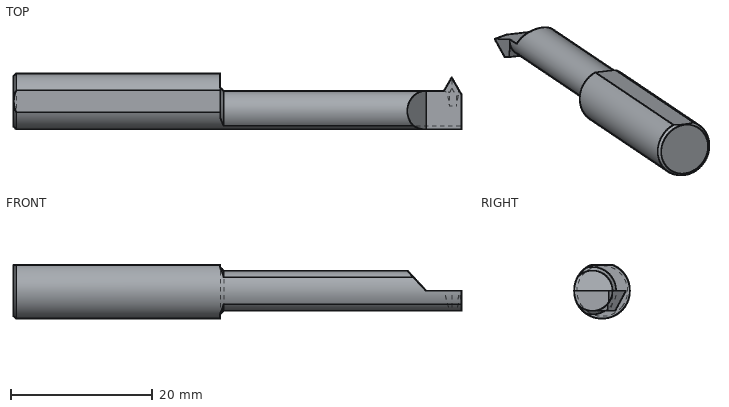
import cadquery as cq
import math

total_length = 63.5
shank_radius = 3.97
shank_length = 29.3
shank_flat_height = 3.65
tail_chamfer = 0.4

neck_radius = 2.85
neck_offset = -1.365
shoulder_bevel = 0.5

land_length = 5.0
ramp_length = 2.65

tooth_height = 1.9
tooth_half_angle = 30.0
tooth_tip_setback = 1.4
tooth_clearance_angle = 15.0

neck_side = neck_offset + neck_radius
tooth_half_base = tooth_height * math.tan(math.radians(tooth_half_angle))
tooth_tip_x = total_length - tooth_tip_setback
tooth_tip_y = neck_side + tooth_height
end_flank_y = tooth_tip_y - tooth_tip_setback / math.tan(math.radians(tooth_half_angle))
land_start = total_length - land_length


def make_shank():
    """Round shank with a chamfered tail and a clamping flat along the top."""
    shank = cq.Workplane("YZ").circle(shank_radius).extrude(shank_length)
    shank = shank.faces("<X").chamfer(tail_chamfer)
    height = shank_flat_height + shank_radius
    keep = cq.Workplane("XY").box(shank_length, 2 * shank_radius, height, centered=(False, True, False))
    return shank.intersect(keep.translate((0, 0, -shank_radius)))


def make_neck():
    """Offset round neck with a conical bevel at the shank shoulder."""
    bevel_radius = neck_radius + shoulder_bevel
    return (
        cq.Workplane("XY")
        .moveTo(shank_length, neck_offset)
        .lineTo(shank_length, neck_offset + bevel_radius)
        .lineTo(shank_length + shoulder_bevel, neck_side)
        .lineTo(total_length, neck_side)
        .lineTo(total_length, neck_offset)
        .close()
        .revolve(360, (0, neck_offset, 0), (1, neck_offset, 0))
    )


def make_tooth():
    """Pointed thread-cutting tooth below the land, with its flanks relieved downward."""
    outline = [
        (tooth_tip_x - tooth_half_base, neck_side),
        (tooth_tip_x, tooth_tip_y),
        (total_length, end_flank_y),
        (total_length, neck_offset),
        (tooth_tip_x - tooth_half_base, neck_offset),
    ]
    return cq.Workplane("XY").polyline(outline).close().extrude(-neck_radius, taper=tooth_clearance_angle)


def make_tip_relief():
    """Material above the land and its ramp, removed to expose the cutting face."""
    ramp_top = (land_start - ramp_length, neck_radius)
    return (
        cq.Workplane("XZ")
        .polyline([(land_start, 0), ramp_top, (total_length, neck_radius), (total_length, 0)])
        .close()
        .extrude(shank_radius, both=True)
    )


def make_end_flank_cut():
    """Corner of the neck that lies outside the end flank of the tooth."""
    return (
        cq.Workplane("XY")
        .polyline([(tooth_tip_x, tooth_tip_y), (total_length, tooth_tip_y), (total_length, end_flank_y)])
        .close()
        .extrude(neck_radius, both=True)
    )


envelope = cq.Workplane("YZ").circle(shank_radius).extrude(total_length)
cutter = make_neck().cut(make_tip_relief()).union(make_tooth())
cutter = cutter.cut(make_end_flank_cut()).intersect(envelope)
result = make_shank().union(cutter)